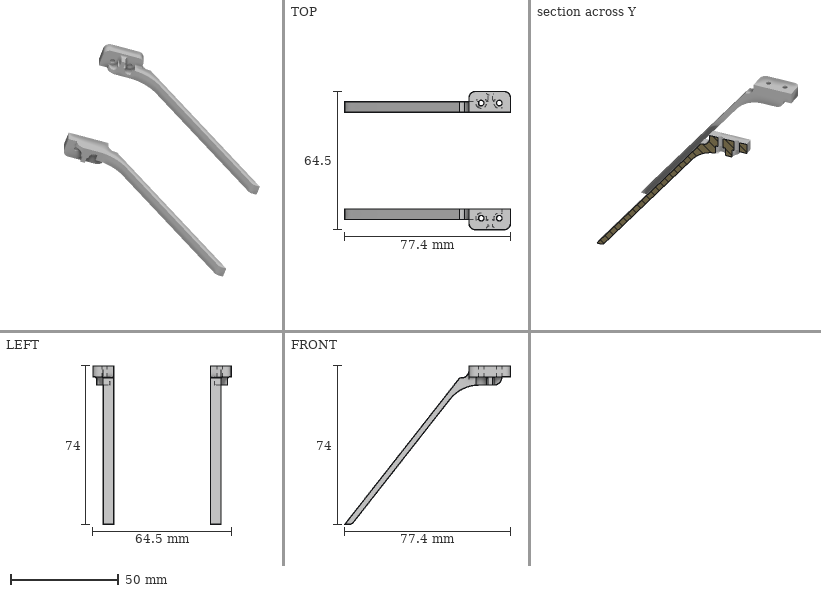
import cadquery as cq
import math

length = 77.4
height = 74.0
overall_width = 64.5

plate_length = 19.4
plate_width = 9.75
plate_thickness = 5.2
plate_corner_radius = 3.0
plate_start = length - plate_length
inner_face = overall_width / 2 - plate_width

hole_diameter = 2.5
head_diameter = 4.95
hole_inset = 4.3
first_hole = plate_start + 5.7
hole_spacing = 8.4
hole_positions = [first_hole, first_hole + hole_spacing]

arm_width = 4.95
arm_thickness = 2.6
shoulder_x = 53.6
shoulder_depth = 5.65
ledge_x = 55.8
ledge_depth = 5.4
throat_mid_x = 57.3
throat_mid_depth = 4.0
throat_top_depth = 2.0
tip_radius = 2.5

root_depth = 9.05
belly_radius = 17.0
tail_radius = root_depth - plate_thickness
tail_end = 73.35

rib_length = 2.0
rib_reach = 8.05
underside_fillet = 0.9


def make_plate():
    """Plate with its two outer corners rounded."""
    plate = cq.Workplane("XY").box(plate_length, plate_width, plate_thickness, centered=False)
    plate = plate.edges("|Z and >Y").fillet(plate_corner_radius)
    return plate.translate((plate_start, inner_face, -plate_thickness))


def make_arm():
    """Sloping arm that thickens through a curved throat into the plate and root."""
    slope = math.atan2(height - shoulder_depth, shoulder_x)
    sine = math.sin(slope)
    cosine = math.cos(slope)

    belly_z = -root_depth - belly_radius
    belly_x = (arm_thickness + belly_radius + (belly_z + height) * cosine) / sine
    belly_start = (belly_x - belly_radius * sine, belly_z + belly_radius * cosine)
    belly_mid = (
        belly_x - belly_radius * math.sin(slope / 2),
        belly_z + belly_radius * math.cos(slope / 2),
    )

    underside_at_tip = arm_thickness / sine

    arm = (
        cq.Workplane("XZ", origin=(0, inner_face, 0))
        .moveTo(0, -height)
        .lineTo(shoulder_x, -shoulder_depth)
        .lineTo(ledge_x, -ledge_depth)
        .threePointArc((throat_mid_x, -throat_mid_depth), (plate_start, -throat_top_depth))
        .lineTo(belly_x, -throat_top_depth)
        .lineTo(belly_x, -root_depth)
        .threePointArc(belly_mid, belly_start)
        .lineTo(underside_at_tip, -height)
        .close()
        .extrude(-arm_width)
    )
    tip_edge = cq.selectors.NearestToPointSelector(
        (underside_at_tip, inner_face + arm_width / 2, -height)
    )
    return arm.edges(tip_edge).fillet(tip_radius)


def make_root():
    """Straight root of the arm below the whole length of the plate."""
    root = cq.Workplane("XY").box(plate_length, arm_width, root_depth, centered=False)
    return root.translate((plate_start, inner_face, -root_depth))


def make_rib():
    """Rib midway between the screw holes, from the arm root outwards."""
    rib_start = sum(hole_positions) / 2 - rib_length / 2
    rib = cq.Workplane("XY").box(rib_length, rib_reach, root_depth, centered=False)
    return rib.translate((rib_start, inner_face, -root_depth))


def fillet_underside(mount):
    """Round the inside corner where the root and rib meet the plate."""
    margin = 0.1
    corner_zone = cq.selectors.BoxSelector(
        (plate_start + margin, inner_face + arm_width - margin, -plate_thickness - margin),
        (length - margin, inner_face + rib_reach + margin, -plate_thickness + margin),
    )
    return mount.edges(corner_zone).fillet(underside_fillet)


def round_tail(mount):
    """Trim the root to a quarter round that stops short of the plate end."""
    tail_x = tail_end - tail_radius
    tail_mid = (
        tail_x + tail_radius * math.sin(math.pi / 4),
        -plate_thickness - tail_radius * math.cos(math.pi / 4),
    )
    waste = (
        cq.Workplane("XZ", origin=(0, inner_face, 0))
        .moveTo(tail_x, -root_depth)
        .threePointArc(tail_mid, (tail_end, -plate_thickness))
        .lineTo(length, -plate_thickness)
        .lineTo(length, -root_depth)
        .close()
        .extrude(-plate_width)
    )
    return mount.cut(waste)


def cut_screw_holes(bracket):
    """Drill the plate and clear the screw heads below it."""
    centres = [(x, inner_face + hole_inset) for x in hole_positions]
    holes = cq.Workplane("XY").pushPoints(centres).circle(hole_diameter / 2).extrude(-root_depth)
    heads = (
        cq.Workplane("XY", origin=(0, 0, -plate_thickness))
        .pushPoints(centres)
        .circle(head_diameter / 2)
        .extrude(plate_thickness - root_depth)
    )
    return bracket.cut(holes).cut(heads)


def make_bracket():
    """Complete bracket on the +Y side."""
    mount = make_plate().union(make_root()).union(make_rib())
    mount = round_tail(fillet_underside(mount))
    return cut_screw_holes(mount.union(make_arm()))


brackets = []
for mirrored in (False, True):
    bracket = make_bracket()
    if mirrored:
        bracket = bracket.mirror("XZ")
    brackets.append(bracket.val())

result = cq.Compound.makeCompound(brackets)